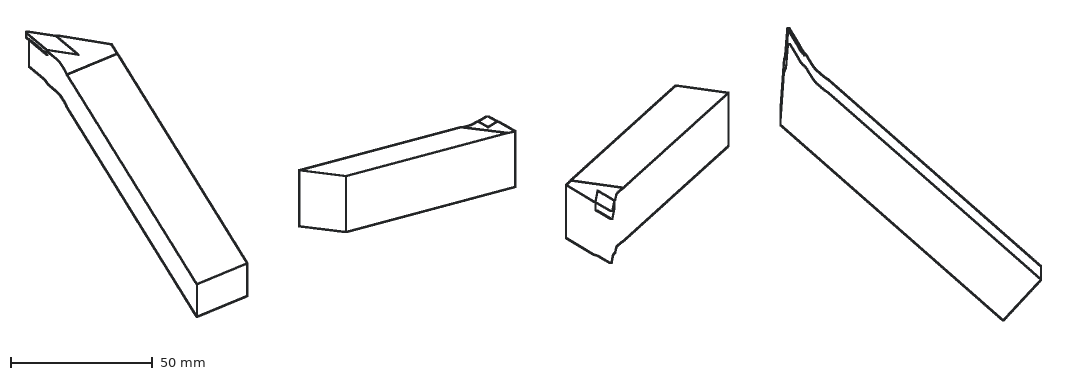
import cadquery as cq
import math

length = 124.3
shank_width = 20.0
shank_height = 20.1
shank_start = 23.0

head_height = 20.0
head_back_corner_x = 18.4
neck_y = 0.2
neck_start = 18.1
neck_end = 20.4

tip_x = 0.0
tip_y = -4.6
tip_radius = 0.4
front_angle = 17.5
point_angle = 35.0
back_angle = front_angle + point_angle
edge_length = 11.4
insert_thickness = 3.0

wall_inset = 0.32
wall_outset = 0.27
inner_bend_length = 1.9
outer_bend_length = 1.5

front_along = (math.cos(math.radians(front_angle)), math.sin(math.radians(front_angle)))
front_out = (front_along[1], -front_along[0])
back_along = (math.cos(math.radians(back_angle)), math.sin(math.radians(back_angle)))
back_out = (-back_along[1], back_along[0])

bisector = math.radians(front_angle + point_angle / 2)
center_distance = tip_radius / math.sin(math.radians(point_angle / 2))
apex = (
    tip_x + tip_radius - center_distance * math.cos(bisector),
    tip_y + tip_radius - center_distance * math.sin(bisector),
)


def edge_point(along, out, distance, offset=0.0):
    """Point at a distance from the apex along an edge, moved outward by offset."""
    return (
        apex[0] + distance * along[0] + offset * out[0],
        apex[1] + distance * along[1] + offset * out[1],
    )


def front_point(distance, offset=0.0):
    return edge_point(front_along, front_out, distance, offset)


def back_point(distance, offset=0.0):
    return edge_point(back_along, back_out, distance, offset)


def round_tip(body):
    """Round the vertical edge at the cutting tip."""
    return body.edges("|Z").edges("<X").fillet(tip_radius)


def make_insert():
    front_corner = front_point(edge_length)
    back_corner = back_point(edge_length)
    far_corner = (
        front_corner[0] + back_corner[0] - apex[0],
        front_corner[1] + back_corner[1] - apex[1],
    )
    plate = (
        cq.Workplane("XY", origin=(0, 0, head_height - insert_thickness))
        .polyline([apex, front_corner, far_corner, back_corner])
        .close()
        .extrude(insert_thickness)
    )
    return round_tip(plate)


def make_head():
    bend_start = edge_length - inner_bend_length
    bend_end = edge_length + outer_bend_length

    inset_distance = wall_inset / math.sin(math.radians(point_angle / 2))
    inset_apex = (
        apex[0] + inset_distance * math.cos(bisector),
        apex[1] + inset_distance * math.sin(bisector),
    )

    front_bend_end = front_point(bend_end, wall_outset)
    neck_rise = neck_y - front_bend_end[1]
    neck_tangent = neck_rise / front_along[1]
    wall_crossing_x = front_bend_end[0] + neck_tangent * front_along[0]
    arc_tangent = neck_start - wall_crossing_x
    wall_end = front_point(bend_end + neck_tangent - arc_tangent, wall_outset)

    back_bend_end = back_point(bend_end, wall_outset)

    profile = (
        cq.Workplane("XY")
        .moveTo(*inset_apex)
        .lineTo(*front_point(bend_start, -wall_inset))
        .tangentArcPoint(front_point(edge_length), relative=False)
        .tangentArcPoint(front_bend_end, relative=False)
        .lineTo(*wall_end)
        .tangentArcPoint((neck_start, neck_y), relative=False)
        .lineTo(neck_end, neck_y)
        .tangentArcPoint((shank_start, 0), relative=False)
        .lineTo(shank_start, shank_width)
        .lineTo(head_back_corner_x, shank_width)
        .lineTo(*back_bend_end)
        .tangentArcPoint(back_point(edge_length), relative=False)
        .tangentArcPoint(back_point(bend_start, -wall_inset), relative=False)
        .close()
    )
    return round_tip(profile.extrude(head_height))


def make_holder(insert):
    """Shank and head in one piece, with a seat that fits the insert."""
    shank = cq.Workplane("XY").box(
        length - shank_start, shank_width, shank_height, centered=False
    ).translate((shank_start, 0, 0))
    return shank.union(make_head()).cut(insert)


insert = make_insert()
holder = make_holder(insert)

result = cq.Compound.makeCompound([holder.val(), insert.val()])